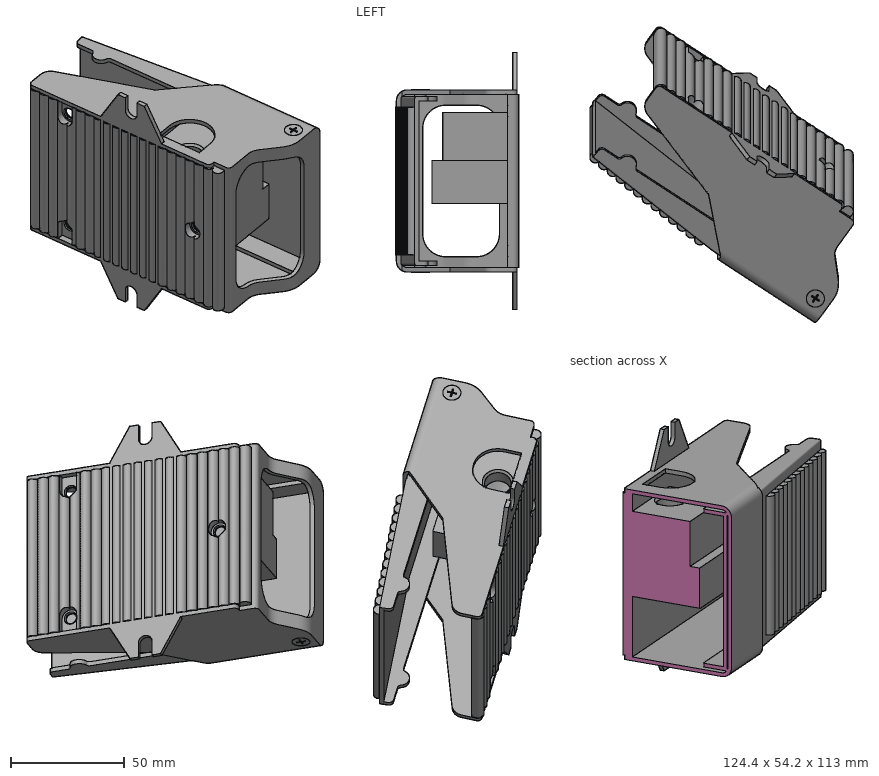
import cadquery as cq
import math


length = 124.4
cover_top = 53.9
tab_span = 113.0
sheet = 2.0
rib_radius = 2.5
rib_pitch = 2 * rib_radius
overcut = 1.2

housing_half_width = 40.0
housing_bottom = 0.7
cover_bend_radius = 5.0
cover_front = 72.6
front_x = 4.5
front_height = 13.4
knee_x = 51.6
knee_y = 30.2
front_bottom_radius = 2.0
front_top_radius = 5.6
step_x = 103.5
step_y = 4.0
heel_x = 112.0
wall_lower_bend = 20.7
wall_upper_bend = 34.2
bend_inner_radius = 8.0
bend_outer_radius = bend_inner_radius + sheet
roof_inner_radius = 10.0
roof_outer_radius = roof_inner_radius + sheet
heel_inner_x = heel_x - sheet
wall_inner_x = length - sheet

window_bottom = 8.6
window_top = 42.2
window_half_width = 33.2
window_radius = 10.0

base_top = 5.0
base_front = 4.7
first_rib_x = 7.2
rib_count = 21
last_rib_x = first_rib_x + (rib_count - 1) * rib_pitch
base_half_width = housing_half_width - sheet

tab_x = 60.5
tab_root_width = 33.3
tab_tip_width = 14.4
slot_width = 6.3
slot_depth = 10.0

counterbore_diameter = 8.0
counterbore_floor = 3.7
hole_mouth_diameter = 6.0
hole_diameter = 5.0
front_hole_x = 24.5
front_hole_z = 30.7
rear_hole_x = 94.3

valve_front = 67.2
actuator_front = 64.7
valve_back = 108.2
valve_height = 33.5
valve_side = 30.1
block_split = 9.1
actuator_height = 38.2
actuator_side = -10.0

port_x = 83.1
port_y = 13.4
port_window_radius = 11.1
port_window_bottom = 5.6
port_mouth_diameter = 13.7
port_diameter = 11.7
port_depth = 7.5
port_cone_height = 3.7

pedal_half_width = 37.1
pedal_edge_radius = 0.9
tip_x = 0.5
tip_y = 45.8
pedal_angle = 5.0
flange_bottom = 39.9
flange_tip_radius = 2.0
pedal_level = 51.8
pedal_back = wall_inner_x
bump_x = 15.0
bump_radius = 4.0
bump_blend_radius = 1.5

pad_ridges = 13
pad_half_width = 32.5
pad_base = 0.5
pad_overhang = 0.45

pivot_x = 117.7
pivot_y = 43.3
pivot_shank_diameter = 5.0
pivot_head_diameter = 8.0
pivot_head_proud = 0.1
cross_length = 4.0
cross_width = 0.5
cross_depth = 0.7


def rounded_outline(corners):
    """Closed XY outline from (x, y, radius) corners, each rounded by a tangent arc."""
    wire = None
    for i, (x, y, radius) in enumerate(corners):
        before = corners[i - 1]
        after = corners[(i + 1) % len(corners)]
        corner = cq.Vector(x, y)
        to_before = (cq.Vector(before[0], before[1]) - corner).normalized()
        to_after = (cq.Vector(after[0], after[1]) - corner).normalized()
        half_angle = to_before.getAngle(to_after) / 2
        setback = radius / math.tan(half_angle)
        start = corner + to_before * setback
        if wire is None:
            wire = cq.Workplane("XY").moveTo(start.x, start.y)
        else:
            wire = wire.lineTo(start.x, start.y)
        if radius:
            bisector = (to_before + to_after).normalized()
            middle = corner + bisector * (radius / math.sin(half_angle) - radius)
            end = corner + to_after * setback
            wire = wire.threePointArc((middle.x, middle.y), (end.x, end.y))
    return wire.close()


def span_box(x0, x1, y0, y1, z0, z1):
    """Box between the given limits on each axis."""
    return cq.Workplane("XY").box(x1 - x0, y1 - y0, z1 - z0, centered=False).translate((x0, y0, z0))


def z_cylinder(x, y, diameter, z0, z1):
    """Cylinder along Z from z0 to z1."""
    return cq.Workplane("XY", origin=(x, y, z0)).circle(diameter / 2).extrude(z1 - z0)


def make_housing():
    """Bent sheet: two sides and a cover, closed by a cranked back wall with a window."""
    side_outline = rounded_outline([
        (front_x, housing_bottom, front_bottom_radius),
        (step_x, housing_bottom, front_bottom_radius),
        (step_x, step_y, 0),
        (heel_x, step_y, sheet),
        (heel_x, wall_lower_bend, bend_inner_radius),
        (length, wall_upper_bend, roof_outer_radius),
        (length, cover_top, 0),
        (cover_front, cover_top, 0),
        (cover_front, knee_y + cover_front - knee_x, 0),
        (knee_x, knee_y, 0),
        (front_x, front_height, front_top_radius),
    ])
    side_profile = side_outline.extrude(housing_half_width, both=True)

    outer = span_box(0, length, 0, cover_top, -housing_half_width, housing_half_width)
    outer = outer.edges("|X and >Y").fillet(cover_bend_radius)
    inner = span_box(0, length, -overcut, cover_top - sheet, -base_half_width, base_half_width)
    inner = inner.edges("|X and >Y").fillet(cover_bend_radius - sheet)
    shell = side_profile.intersect(outer).cut(inner)

    crank = math.atan2(length - heel_x, wall_upper_bend - wall_lower_bend)
    bend_shift = sheet * math.tan(crank / 2)
    wall_outline = rounded_outline([
        (heel_x, step_y, sheet),
        (heel_x, wall_lower_bend, bend_inner_radius),
        (length, wall_upper_bend, roof_outer_radius),
        (length, cover_top, 0),
        (wall_inner_x, cover_top, 0),
        (wall_inner_x, wall_upper_bend + bend_shift, roof_inner_radius),
        (heel_inner_x, wall_lower_bend + bend_shift, bend_outer_radius),
        (heel_inner_x, step_y, 0),
    ])
    wall = wall_outline.extrude(housing_half_width, both=True).intersect(outer)
    window = span_box(heel_x - 2 * sheet, length + overcut, window_bottom, window_top,
                      -window_half_width, window_half_width)
    window = window.edges("|X").fillet(window_radius)
    housing = shell.union(wall.cut(window))

    arch = z_cylinder(port_x, port_y, 2 * port_window_radius, valve_side, housing_half_width + overcut)
    arch = arch.union(span_box(port_x - port_window_radius, port_x + port_window_radius,
                               port_window_bottom, port_y, valve_side, housing_half_width + overcut))
    arch = arch.cut(span_box(0, length, 0, port_window_bottom, 0, housing_half_width + overcut))
    return housing.cut(arch)


def make_base():
    """Base plate with half-round ribs along Z on its outer face."""
    base = span_box(base_front, last_rib_x + rib_radius, rib_radius, base_top,
                    -base_half_width, base_half_width)
    base = base.union(span_box(step_x, heel_inner_x, step_y, base_top, -base_half_width, base_half_width))
    for i in range(rib_count):
        rib_x = first_rib_x + i * rib_pitch
        base = base.union(z_cylinder(rib_x, rib_radius, 2 * rib_radius, -base_half_width, base_half_width))
    return base


def make_strap():
    """Flat strap across the base whose tapered ends form the slotted mounting tabs."""
    tip_z = tab_span / 2
    half_root = tab_root_width / 2
    half_tip = tab_tip_width / 2
    strap = (
        cq.Workplane("XZ", origin=(tab_x, housing_bottom, 0))
        .polyline([
            (-half_root, -housing_half_width), (-half_tip, -tip_z), (half_tip, -tip_z),
            (half_root, -housing_half_width), (half_root, housing_half_width), (half_tip, tip_z),
            (-half_tip, tip_z), (-half_root, housing_half_width),
        ])
        .close()
        .extrude(-sheet)
    )
    slots = (
        cq.Workplane("XZ", origin=(tab_x, 0, 0))
        .pushPoints([(0, tip_z), (0, -tip_z)])
        .slot2D(2 * slot_depth, slot_width, 90)
        .extrude(-base_top)
    )
    return strap.cut(slots)


def base_hole(x, z):
    """Counterbored, countersunk through hole entering the base from its ribbed face."""
    entry = cq.Workplane("XZ", origin=(x, 0, z))
    counterbore = entry.circle(counterbore_diameter / 2).extrude(-counterbore_floor)
    countersink_depth = (hole_mouth_diameter - hole_diameter) / 2
    countersink = cq.Solid.makeCone(hole_mouth_diameter / 2, hole_diameter / 2, countersink_depth,
                                    cq.Vector(x, counterbore_floor, z), cq.Vector(0, 1, 0))
    drill = entry.circle(hole_diameter / 2).extrude(-base_top)
    return counterbore.union(countersink).union(drill)


def base_holes():
    """Two front holes near the sides and one rear hole on the mid plane."""
    holes = base_hole(rear_hole_x, 0)
    half_bore = counterbore_diameter / 2
    for side in (-1, 1):
        z_near, z_far = sorted([side * front_hole_z, side * base_half_width])
        holes = holes.union(base_hole(front_hole_x, side * front_hole_z))
        holes = holes.union(span_box(front_hole_x - half_bore, front_hole_x + half_bore,
                                     0, counterbore_floor, z_near, z_far))
    return holes


def make_valve():
    """Ported block with a conical-bottomed port, next to a taller actuator block."""
    ported = span_box(valve_front, valve_back, base_top, valve_height, block_split, valve_side)
    actuator = span_box(actuator_front, valve_back, base_top, actuator_height, actuator_side, block_split)
    mouth_depth = (port_mouth_diameter - port_diameter) / 2
    into_block = cq.Vector(0, 0, -1)
    mouth = cq.Solid.makeCone(port_mouth_diameter / 2, port_diameter / 2, mouth_depth,
                              cq.Vector(port_x, port_y, valve_side), into_block)
    bore = z_cylinder(port_x, port_y, port_diameter, valve_side - port_depth, valve_side)
    point = cq.Solid.makeCone(port_diameter / 2, 0, port_cone_height,
                              cq.Vector(port_x, port_y, valve_side - port_depth), into_block)
    return ported.union(actuator).cut(mouth).cut(bore).cut(point)


def make_pedal():
    """Channel-shaped pedal: sloping plate, level under the cover, with a flange on each side."""
    slope = math.tan(math.radians(pedal_angle))
    level_x = tip_x + (pedal_level - tip_y) / slope
    flange_tip_x = tip_x + (tip_y - flange_bottom) * slope
    body = rounded_outline([
        (tip_x, tip_y, 0),
        (flange_tip_x, flange_bottom, flange_tip_radius),
        (pedal_back, flange_bottom, 0),
        (pedal_back, pedal_level, 0),
        (level_x, pedal_level, 0),
    ])
    body = body.extrude(pedal_half_width, both=True)
    upper_edges = cq.selectors.BoxSelector((0, tip_y, -length), (pedal_back - sheet, length, length))
    body = body.faces(">Z or <Z").edges(upper_edges).fillet(pedal_edge_radius)

    bump = z_cylinder(bump_x, flange_bottom, 2 * bump_radius, -pedal_half_width, pedal_half_width)
    body = body.union(bump)
    margin = 0.1
    bump_roots = cq.selectors.BoxSelector(
        (bump_x - bump_radius - margin, flange_bottom - margin, -length),
        (bump_x + bump_radius + margin, flange_bottom + margin, length),
    )
    body = body.edges(bump_roots).edges("|Z").fillet(bump_blend_radius)

    plate_drop = sheet / math.cos(math.radians(pedal_angle))
    channel = cq.Workplane("XY").polyline([
        (0, tip_y - plate_drop - tip_x * slope),
        (level_x, pedal_level - plate_drop),
        (length, pedal_level - plate_drop),
        (length, 0),
        (0, 0),
    ])
    channel = channel.close().extrude(pedal_half_width - sheet, both=True)
    return body.cut(channel)


def make_pad():
    """Ridged tread lying on the sloping pedal plate, drawn flat and then tilted."""
    pad = cq.Workplane("XY").moveTo(-pad_overhang, 0).lineTo(-pad_overhang, pad_base)
    for i in range(pad_ridges):
        ridge_start = -pad_overhang + i * rib_pitch
        pad = pad.threePointArc((ridge_start + rib_radius, pad_base + rib_radius),
                                (ridge_start + rib_pitch, pad_base))
    pad_end = -pad_overhang + pad_ridges * rib_pitch
    pad = pad.lineTo(pad_end, 0).close().extrude(pad_half_width, both=True)
    return pad.rotate((0, 0, 0), (0, 0, 1), pedal_angle).translate((tip_x, tip_y, 0))


def make_pivot_screw():
    """Screw on the upper side, pinning the pedal flange to the housing."""
    head_top = housing_half_width + pivot_head_proud
    screw = z_cylinder(pivot_x, pivot_y, pivot_shank_diameter, pedal_half_width - sheet, head_top)
    return screw.union(z_cylinder(pivot_x, pivot_y, pivot_head_diameter, base_half_width, head_top))


def cross_recess():
    """Cross-shaped driver recess in the head of the upper pivot screw."""
    head_top = housing_half_width + pivot_head_proud
    recess = cq.Workplane("XY", origin=(pivot_x, pivot_y, head_top))
    upright = recess.rect(cross_width, cross_length).extrude(-cross_depth)
    return recess.rect(cross_length, cross_width).extrude(-cross_depth).union(upright)


result = make_housing().union(make_strap()).union(make_base())
result = result.cut(base_holes()).union(make_valve())
result = result.union(make_pedal()).union(make_pad())

screw = make_pivot_screw()
recess = cross_recess()
result = result.union(screw).union(screw.mirror("XY"))
result = result.cut(recess).cut(recess.mirror("XY"))